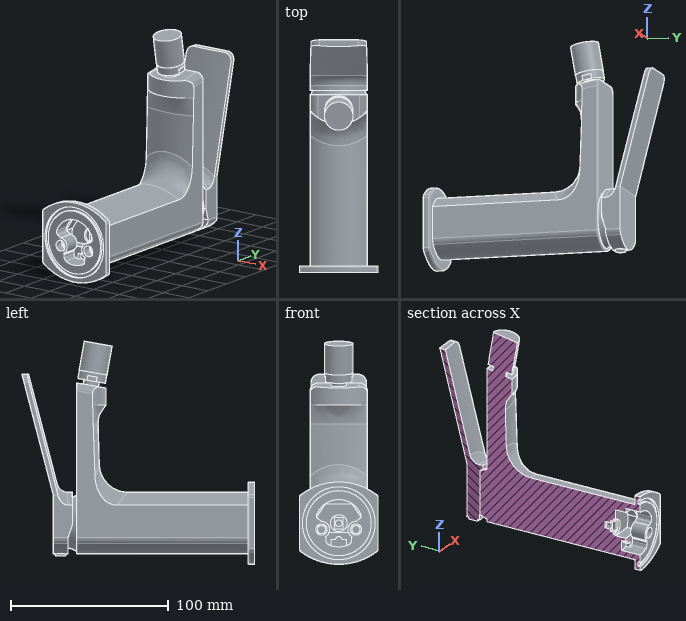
import cadquery as cq
import math

half_width = 18.2
tube_top = 19.7
shoulder_z = 11.4
tube_bottom = -19.5
bottom_corner_z = -11.2
bottom_corner_radius = 5.0
back_edge_radius = 0.5
body_back = 113.0

flange_half_width = 25.0
flange_half_height = 26.15
flange_arc_radius = 40.0
flange_thickness = 4.3
flange_corner_radius = 2.5
flange_rear_fillet = 0.8
seal_outer_radius = 23.1
seal_inner_radius = 20.6
seal_depth = 1.5

pocket_radius = 15.0
land_thickness = 10.6
chamber_depth = 18.0
pocket_corner_radius = 2.4
screw_x = 10.95
screw_z = -4.0
screw_land_radius = 5.2
shoulder_rise = 3.0
shoulder_foot_x = 8.0
screw_radius = 3.5
screw_core_radius = 2.6
screw_mouth_depth = 6.0
screw_depth = 9.0
chamber_top = 12.2
chamber_top_half_width = 8.5
chamber_bevel_foot_z = 2.5
chamber_bottom = -5.8
stem_recess_radius = 5.3
stem_recess_depth = 1.5
stem_slot_width = 5.3
stem_slot_height = 7.4
stem_slot_depth = 4.0
stem_bore_radius = 2.1
stem_bore_depth = 8.0
notch_half_width = 4.8
notch_top = -10.4
notch_depth = 3.0
notch_bump_radius = 2.0

upright_bottom = 0.0
crown_bottom_y = 97.4
side_bottom_y = 100.2
waist_z = 63.0
waist_crown_y = 99.2
waist_side_y = 102.4
nose_bend_z = 69.3
nose_bend_crown_y = 98.0
nose_z = 75.0
nose_crown_y = 94.2
nose_side_y = 102.8
upright_back_top = 89.0
upright_corner_radius = 5.0
elbow_radius = 18.0

tilt = 10.0
aerator_radius = 9.05
aerator_upper_length = 18.7
aerator_collar_length = 5.4
collar_radius = 8.9
aerator_flat_half_width = 8.4
aerator_flat_height = 3.0
aerator_base_y = 103.4
overall_top = 115.45
neck_radius = 5.0
neck_length = 6.0

cone_base_radius = 17.7
cone_tip_radius = 15.7
cone_tip_y = 118.2

lever_front = 115.6
lever_back = 127.8
lever_relief_start_z = -1.0
lever_relief_end_z = -9.0
lever_tip_y = 147.66
lever_tip_z = 94.5
lever_bend_z = 18.0
lever_side_thickness = 2.9
lever_center_thickness = 4.3
lever_tip_half_width = 17.6
lever_tip_corner_radius = 5.5
lever_elbow_radius = 6.5
cap_radius = 3.5
cap_y = 123.0
cap_height = 1.3
cap_rounding = 0.8
cap_sink = 2.0


def at_y(y):
    """Sketch plane at a given Y: sketch x = +X, sketch y = +Z; negative extrusions go toward +Y."""
    return cq.Workplane(cq.Plane(origin=(0, y, 0), xDir=(1, 0, 0), normal=(0, -1, 0)))


def bar(start_y, end_y):
    """Length of the bar: flat sides, arched top and bottom, rounded lower corners."""
    return (
        at_y(start_y)
        .moveTo(-half_width, shoulder_z)
        .threePointArc((0, tube_top), (half_width, shoulder_z))
        .lineTo(half_width, bottom_corner_z)
        .threePointArc((0, tube_bottom), (-half_width, bottom_corner_z))
        .close()
        .extrude(start_y - end_y)
        .edges("|Y").edges("<Z").fillet(bottom_corner_radius)
    )


def flange():
    """Plate with straight sides, arched top and bottom, and a rounded rear rim."""
    half_chord = flange_half_width
    sag = flange_arc_radius - math.sqrt(flange_arc_radius**2 - half_chord**2)
    end_z = flange_half_height - sag
    return (
        at_y(0)
        .moveTo(-half_chord, end_z)
        .threePointArc((0, flange_half_height), (half_chord, end_z))
        .lineTo(half_chord, -end_z)
        .threePointArc((0, -flange_half_height), (-half_chord, -end_z))
        .close()
        .extrude(-flange_thickness)
        .edges("|Y").fillet(flange_corner_radius)
        .faces(">Y").edges().fillet(flange_rear_fillet)
    )


def upright_section(z, crown_y, side_y):
    """Closed wire at height z: flat back and sides, front bowed out to the crown."""
    return (
        cq.Workplane("XY", origin=(0, 0, z))
        .moveTo(-half_width, body_back)
        .lineTo(-half_width, side_y)
        .threePointArc((0, crown_y), (half_width, side_y))
        .lineTo(half_width, body_back)
        .close()
        .val()
    )


def upright():
    """Column that flares forward into a nose near its top."""
    overshoot_z = upright_back_top + 1
    root = upright_section(upright_bottom, crown_bottom_y, side_bottom_y)
    waist = upright_section(waist_z, waist_crown_y, waist_side_y)
    bend = upright_section(nose_bend_z, nose_bend_crown_y, waist_side_y)
    nose = upright_section(nose_z, nose_crown_y, nose_side_y)
    top = upright_section(overshoot_z, nose_crown_y, nose_side_y)
    column = cq.Workplane(cq.Solid.makeLoft([root, waist], True))
    flare = cq.Workplane(cq.Solid.makeLoft([waist, bend, nose]))
    head = cq.Workplane(cq.Solid.makeLoft([nose, top], True))
    return column.union(flare).union(head)


def side_taper(start_z, end_z, end_half_width, start_y, end_y):
    """Prism along Y, wide at the bottom, whose sides lean in from start_z to end_z."""
    wide = flange_half_width
    floor_z = -flange_half_height
    return (
        at_y(start_y)
        .polyline([
            (-wide, floor_z), (wide, floor_z), (wide, start_z), (half_width, start_z),
            (end_half_width, end_z), (-end_half_width, end_z),
            (-half_width, start_z), (-wide, start_z),
        ])
        .close()
        .extrude(start_y - end_y)
    )


def tilted(y, z):
    """Plane at (0, y, z) whose normal is the aerator axis: up and leaning forward."""
    angle = math.radians(tilt)
    return cq.Plane(origin=(0, y, z), xDir=(1, 0, 0), normal=(0, -math.sin(angle), math.cos(angle)))


def spout_shell():
    """Tube and upright blended at the elbow, with a slanted roof rounded at both sides."""
    shell = bar(flange_thickness, body_back).union(upright())
    crease = cq.selectors.BoxSelector(
        (-half_width - 1, crown_bottom_y - 1, shoulder_z - 1),
        (half_width + 1, side_bottom_y + 1, tube_top + 1),
        boundingbox=True,
    )
    shell = shell.edges(crease).fillet(elbow_radius)
    roof_waste = cq.Workplane(tilted(body_back, upright_back_top)).rect(100, 100).extrude(20)
    shell = shell.cut(roof_waste)
    shell = shell.faces(">X or <X").edges(">Z").fillet(upright_corner_radius)
    return shell.faces(">Y").edges().fillet(back_edge_radius)


def aerator():
    """Cylinder with a flatted collar, carried on a neck sunk into the roof of the upright."""
    length = aerator_collar_length + aerator_upper_length
    angle = math.radians(tilt)
    base_z = overall_top - aerator_radius * math.sin(angle) - length * math.cos(angle)
    plane = tilted(aerator_base_y, base_z)
    collar = cq.Workplane(plane).circle(collar_radius).extrude(aerator_collar_length)
    spanner_flats = (
        cq.Workplane(plane)
        .rect(4 * aerator_radius, 4 * aerator_radius)
        .rect(2 * aerator_flat_half_width, 4 * aerator_radius)
        .extrude(aerator_flat_height)
    )
    barrel = (
        cq.Workplane(plane)
        .workplane(offset=aerator_collar_length)
        .circle(aerator_radius)
        .extrude(aerator_upper_length)
    )
    neck = cq.Workplane(plane).circle(neck_radius).extrude(-neck_length)
    return collar.cut(spanner_flats).union(barrel).union(neck)


def cartridge_cone():
    """Cone on the back of the body that narrows toward the lever."""
    return (
        cq.Workplane("XY")
        .polyline([
            (0, body_back), (cone_base_radius, body_back),
            (cone_tip_radius, cone_tip_y), (0, cone_tip_y),
        ])
        .close()
        .revolve(360, (0, 0, 0), (0, 1, 0))
    )


def inlet_pocket(depth):
    """Round pocket pinched at both sides by the rounded lands that carry the screws."""
    pocket = at_y(0).circle(pocket_radius).extrude(-depth)
    for side in (-1, 1):
        land = at_y(0).center(side * screw_x, screw_z).circle(screw_land_radius).extrude(-depth)
        shoulder = (
            at_y(0)
            .polyline([
                (side * screw_x, screw_z + screw_land_radius),
                (side * pocket_radius, screw_z + screw_land_radius + shoulder_rise),
                (side * pocket_radius, -pocket_radius),
                (side * shoulder_foot_x, -pocket_radius),
                (side * shoulder_foot_x, screw_z - screw_land_radius),
                (side * screw_x, screw_z),
            ])
            .close()
            .extrude(-depth)
        )
        pocket = pocket.cut(land).cut(shoulder)
    corners = pocket.edges("|Y").filter(
        lambda edge: math.hypot(edge.Center().x, edge.Center().z) > pocket_radius - 0.1
    )
    return pocket.newObject(corners.vals()).fillet(pocket_corner_radius)


def chamber():
    """Cavity that opens out behind the screw lands; its top corners are bevelled."""
    outline = (
        at_y(land_thickness)
        .polyline([
            (-pocket_radius, chamber_bottom), (pocket_radius, chamber_bottom),
            (pocket_radius, chamber_bevel_foot_z), (chamber_top_half_width, chamber_top),
            (-chamber_top_half_width, chamber_top), (-pocket_radius, chamber_bevel_foot_z),
        ])
        .close()
        .extrude(land_thickness - chamber_depth)
    )
    round_bore = at_y(0).circle(pocket_radius).extrude(-chamber_depth)
    return outline.intersect(round_bore)


def stem_socket():
    """Stepped recess, slot and bore in the floor of the chamber."""
    floor = at_y(chamber_depth)
    recess = floor.circle(stem_recess_radius).extrude(-stem_recess_depth)
    slot = floor.rect(stem_slot_width, stem_slot_height).extrude(-stem_slot_depth)
    bore = floor.circle(stem_bore_radius).extrude(-stem_bore_depth)
    return recess.union(slot).union(bore)


def shelf_notch():
    """Rectangular notch with a round bump on top, in the lower shelf."""
    height = notch_top + pocket_radius
    block = (
        at_y(0)
        .center(0, notch_top - height / 2)
        .rect(2 * notch_half_width, height)
        .extrude(-land_thickness - notch_depth)
    )
    bump = at_y(0).center(0, notch_top).circle(notch_bump_radius).extrude(-land_thickness - notch_depth)
    return block.union(bump).intersect(inlet_pocket(land_thickness + notch_depth))


def screw_holes():
    """Pair of stepped blind holes in the screw lands."""
    mouths = (
        at_y(0)
        .pushPoints([(-screw_x, screw_z), (screw_x, screw_z)])
        .circle(screw_radius)
        .extrude(-screw_mouth_depth)
    )
    cores = (
        at_y(0)
        .pushPoints([(-screw_x, screw_z), (screw_x, screw_z)])
        .circle(screw_core_radius)
        .extrude(-screw_depth)
    )
    return mouths.union(cores)


def faucet_body():
    """Spout, flange, aerator and cartridge cone as one solid, with the inlet cut in."""
    body = spout_shell().union(flange()).union(aerator()).union(cartridge_cone())
    seal_groove = at_y(0).circle(seal_outer_radius).circle(seal_inner_radius).extrude(-seal_depth)
    body = body.cut(seal_groove).cut(inlet_pocket(land_thickness)).cut(chamber())
    return body.cut(stem_socket()).cut(shelf_notch()).cut(screw_holes())


def lever_arm():
    """Leaning plate with a flat back and a slightly bowed front, plus its upright heel."""
    lean = math.atan2(lever_tip_y - lever_back, lever_tip_z - lever_bend_z)
    root = cq.Plane(
        origin=(0, lever_back, lever_bend_z),
        xDir=(1, 0, 0),
        normal=(0, math.sin(lean), math.cos(lean)),
    )
    overrun = 10
    length = math.hypot(lever_tip_y - lever_back, lever_tip_z - lever_bend_z) + overrun
    heel_height = lever_bend_z - shoulder_z
    heel = (
        cq.Workplane("XY", origin=(0, lever_back - lever_side_thickness / 2, shoulder_z))
        .box(2 * half_width, lever_side_thickness, heel_height, centered=(True, True, False))
    )
    plate = (
        cq.Workplane(root)
        .workplane(offset=-overrun)
        .moveTo(-half_width, 0)
        .lineTo(-half_width, -lever_side_thickness)
        .threePointArc((0, -lever_center_thickness), (half_width, -lever_side_thickness))
        .lineTo(half_width, 0)
        .close()
        .extrude(length + overrun)
    )
    return plate.union(heel)


def lever():
    """Lever block and arm, relieved at the lower front and recessed for the cartridge cone."""
    block = bar(lever_front, lever_back)
    lever_solid = block.union(lever_arm())
    inner_bend = cq.selectors.BoxSelector(
        (-half_width - 1, lever_front + 2, shoulder_z - 1),
        (half_width + 1, lever_back - 1, tube_top + 2),
        boundingbox=True,
    )
    lever_solid = lever_solid.edges(inner_bend).fillet(lever_elbow_radius)
    silhouette = side_taper(lever_bend_z, lever_tip_z, lever_tip_half_width, lever_front, lever_tip_y + 5)
    silhouette = silhouette.faces(">Z").edges("|Y").fillet(lever_tip_corner_radius)
    lever_solid = lever_solid.intersect(silhouette)
    relief = (
        cq.Workplane("YZ")
        .polyline([
            (lever_front, lever_relief_start_z), (cone_tip_y, lever_relief_end_z),
            (cone_tip_y, tube_bottom), (lever_front, tube_bottom),
        ])
        .close()
        .extrude(half_width, both=True)
    )
    cap = (
        cq.Workplane("XY", origin=(0, cap_y, tube_bottom + cap_sink))
        .circle(cap_radius)
        .extrude(-cap_height - cap_sink)
        .faces("<Z").edges().fillet(cap_rounding)
    )
    return lever_solid.cut(relief).union(cap).cut(cartridge_cone())


body = faucet_body()
handle = lever()

result = cq.Compound.makeCompound([body.val(), handle.val()])